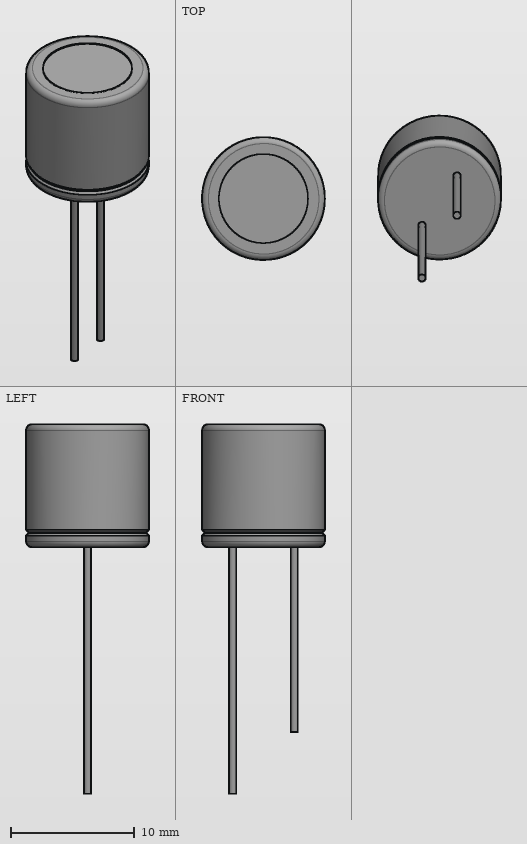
import cadquery as cq

CAN_DIAMETER = 10.0
CAN_RADIUS = CAN_DIAMETER / 2
CAN_HEIGHT = CAN_DIAMETER
EDGE_RADIUS = 0.5

RECESS_DIAMETER = 7.23
RECESS_DEPTH = 0.1

GROOVE_BOTTOM = 0.93
GROOVE_TOP = 1.45
GROOVE_MIDDLE = (GROOVE_BOTTOM + GROOVE_TOP) / 2
GROOVE_DEPTH = 0.18
GROOVE_FLOOR_WIDTH = 0.1

OVERALL_HEIGHT = 30.0
LEAD_DIAMETER = 0.6
LEAD_SPACING = CAN_DIAMETER / 2
LONG_LEAD_LENGTH = OVERALL_HEIGHT - CAN_HEIGHT
SHORT_LEAD_LENGTH = 15.0


def crimp_groove():
    """Ring-shaped cutter for the crimp groove."""
    floor_radius = CAN_RADIUS - GROOVE_DEPTH
    return (
        cq.Workplane("XZ")
        .moveTo(CAN_RADIUS, GROOVE_BOTTOM)
        .lineTo(floor_radius, GROOVE_MIDDLE - GROOVE_FLOOR_WIDTH / 2)
        .lineTo(floor_radius, GROOVE_MIDDLE + GROOVE_FLOOR_WIDTH / 2)
        .lineTo(CAN_RADIUS, GROOVE_TOP)
        .close()
        .revolve(360, (0, 0, 0), (0, 1, 0))
    )


def make_can():
    """Rounded can standing on Z = 0, with the crimp groove and the top recess."""
    can = cq.Workplane("XY").circle(CAN_RADIUS).extrude(CAN_HEIGHT)
    can = can.edges("%CIRCLE").fillet(EDGE_RADIUS)
    can = can.cut(crimp_groove())
    return can.faces(">Z").workplane().circle(RECESS_DIAMETER / 2).cutBlind(-RECESS_DEPTH)


def make_lead(x, length):
    """Round wire lead hanging from the underside of the can."""
    return cq.Workplane("XY").center(x, 0).circle(LEAD_DIAMETER / 2).extrude(-length)


can = make_can()

lead_places = [
    (-LEAD_SPACING / 2, LONG_LEAD_LENGTH),
    (LEAD_SPACING / 2, SHORT_LEAD_LENGTH),
]
leads = [make_lead(x, length) for x, length in lead_places]

result = cq.Compound.makeCompound([can.val(), *[lead.val() for lead in leads]])